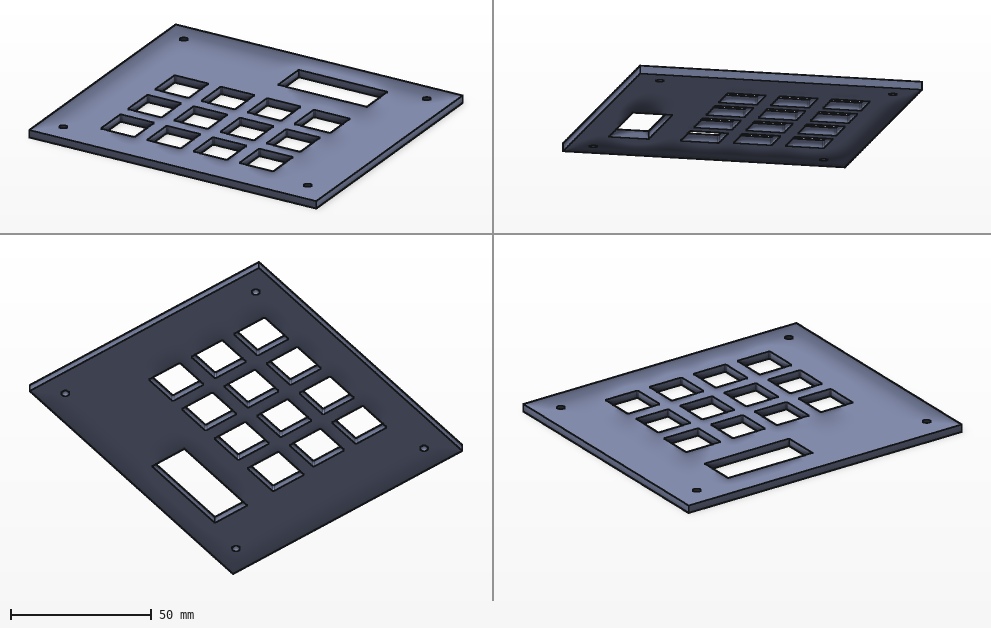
import cadquery as cq

plate_length = 118.4
plate_width = 103.1
plate_thickness = 3.0

key_size = 14.0
key_pitch = 19.0
key_columns = 4
key_rows = 3
first_key_x = -30.9
first_key_y = 7.5
key_corner_radius = 0.5

wide_key_length = 14.9
wide_key_x = 27.0

window_length = 36.6
window_width = 14.6
window_x = 16.2
window_y = 33.4

screw_hole_diameter = 2.8
screw_hole_centres = [
    (-50.4, 42.3),
    (49.5, 42.7),
    (49.8, -41.5),
    (-50.1, -43.1),
]


def through_opening(length, width, x, y):
    """Solid that cuts a rectangular opening through the plate, centred at x, y."""
    return cq.Workplane("XY").box(length, width, plate_thickness).translate((x, y, 0))


def key_opening(column, row):
    """Cutter for one key opening, with slightly rounded corners."""
    y = first_key_y - row * key_pitch
    if row == 0 and column == key_columns - 1:
        cutter = through_opening(wide_key_length, key_size, wide_key_x, y)
    else:
        x = first_key_x + column * key_pitch
        cutter = through_opening(key_size, key_size, x, y)
    return cutter.edges("|Z").fillet(key_corner_radius)


result = cq.Workplane("XY").box(plate_length, plate_width, plate_thickness)

for row in range(key_rows):
    for column in range(key_columns):
        result = result.cut(key_opening(column, row))

result = result.cut(through_opening(window_length, window_width, window_x, window_y))

result = (
    result.faces(">Z")
    .workplane(origin=(0, 0, 0))
    .pushPoints(screw_hole_centres)
    .hole(screw_hole_diameter)
)